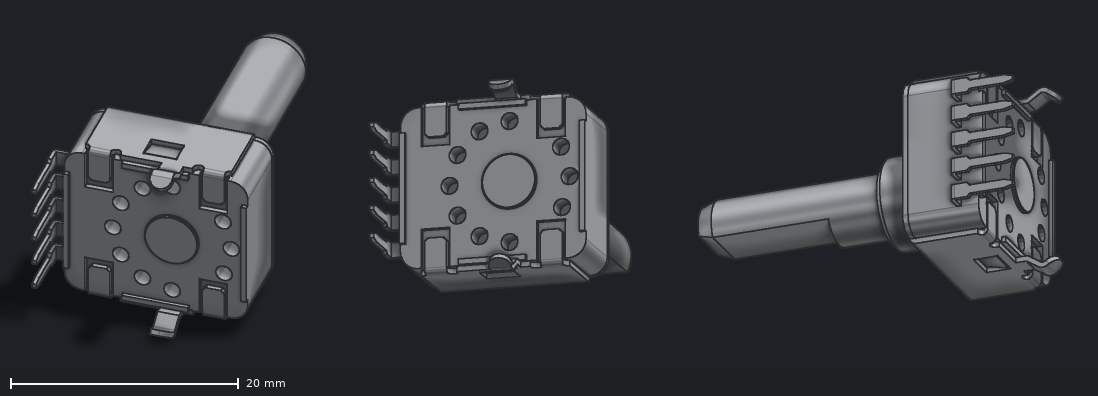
import cadquery as cq
import math


overall_length = 33.5

shaft_diameter = 6.0
shaft_tip_y = 22.4
rear_end_y = shaft_tip_y - overall_length
shaft_taper_length = 1.45
shaft_taper_depth = 0.47
flat_start_y = 10.0
flat_z = -1.47
journal_diameter = 5.0
journal_protrusion = 0.3
journal_chamfer = 0.1

body_left_x = -9.98
body_right_x = 7.0
body_center_x = (body_left_x + body_right_x) / 2
body_height = 14.6
half_height = body_height / 2
corner_radius = 1.6
base_y = -7.2
bushing_diameter = 8.5
bushing_length = 5.0
bushing_chamfer = 0.5

rib_width = 0.5
rib_height = 0.4
side_rib_length = 10.0
end_rib_length = 6.13

hole_diameter = 1.5
hole_depth = 2
hole_circle_radius = 5.5
hole_pitch_angle = 30
left_hole_angles = [90 + hole_pitch_angle * i for i in range(7)]
right_ring_twist = 1
right_hole_angles = [right_ring_twist + hole_pitch_angle * i for i in (-1, 0, 1)]

sheet = 0.5
wall_width = 13.55
wall_end_y = -7.1
wall_outer_z = half_height + sheet
bushing_hole_diameter = 8.55

window_width = 3.05
window_top_y = -3.92
window_bottom_y = -6.2
wedge_top_y = -4.12
wedge_bottom_y = -6.0
wedge_height = 0.4

clip_spacing = 10.6
clip_width = 2
clip_outer_y = -7.17
clip_inner_y = clip_outer_y + sheet
clip_end_z = 4.6
clip_corner = 0.3
clip_xs = [body_center_x - clip_spacing / 2, body_center_x + clip_spacing / 2]
relief_radius = 0.47
relief_center_y = -6.87
relief_offset = clip_width / 2 + relief_radius
clip_recess_width = 2.6
clip_recess_end_z = 3.75

mount_width = 2
mount_bend_y = -8.1
mount_apex_y = -9.65
mount_angle = 33
mount_bend_radius = 0.85
mount_tip_radius = 0.49 * mount_width

terminal_count = 5
terminal_pitch = 2.5
terminal_thickness = 0.4
terminal_outer_x = -11.7
terminal_top_y = -5.15
terminal_tip_y = rear_end_y
terminal_wide = 1.37
terminal_narrow = 0.8
terminal_tip_width = 0.4
shoulder_start_y = -6.77
shoulder_end_y = -7.07
point_start_y = -10.25


def box_between(x0, x1, y0, y1, z0, z1):
    corner = cq.Vector(min(x0, x1), min(y0, y1), min(z0, z1))
    return cq.Workplane(cq.Solid.makeBox(abs(x1 - x0), abs(y1 - y0), abs(z1 - z0), corner))


def cylinder_along_y(diameter, y0, y1, x=0, z=0):
    start = cq.Vector(x, y0, z)
    return cq.Workplane(cq.Solid.makeCylinder(diameter / 2, y1 - y0, start, cq.Vector(0, 1, 0)))


def extrude_yz(points, center_x, width):
    """Extrude a (Y, Z) outline along X, centred on center_x."""
    plane = cq.Workplane("YZ", origin=(center_x, 0, 0))
    return plane.polyline(points).close().extrude(width / 2, both=True)


def both_ends(shape):
    """Return a shape made on the +Z end together with its mirror image on the -Z end."""
    return [shape, shape.mirror("XY")]


def rounded_block(y0, y1):
    block = box_between(body_left_x, body_right_x, y0, y1, -half_height, half_height)
    return block.edges("|Y").fillet(corner_radius)


def make_shaft():
    journal_end_y = base_y - journal_protrusion
    journal = cylinder_along_y(journal_diameter, journal_end_y, 0).faces("<Y").chamfer(journal_chamfer)
    stem = cylinder_along_y(shaft_diameter, 0, shaft_tip_y)
    stem = stem.faces(">Y").edges().chamfer(shaft_taper_length, shaft_taper_depth)
    flat_cut = box_between(
        -shaft_diameter, shaft_diameter, flat_start_y, shaft_tip_y, flat_z, -shaft_diameter
    )
    flat_taper = [
        (shaft_tip_y - shaft_taper_length, flat_z),
        (shaft_tip_y, flat_z + shaft_taper_depth),
        (shaft_tip_y, flat_z),
    ]
    flat_taper_cut = extrude_yz(flat_taper, 0, shaft_diameter)
    return journal.union(stem).cut(flat_cut).cut(flat_taper_cut)


def make_ribs():
    rib_end_y = base_y - rib_height
    ribs = []
    for edge_x, inward in ((body_left_x, rib_width), (body_right_x, -rib_width)):
        ribs.append(box_between(
            edge_x, edge_x + inward, base_y, rib_end_y, -side_rib_length / 2, side_rib_length / 2
        ))
    end_rib = box_between(
        body_center_x - end_rib_length / 2, body_center_x + end_rib_length / 2,
        base_y, rib_end_y, half_height - rib_width, half_height,
    )
    return ribs + both_ends(end_rib)


def make_snap_wedges():
    """Ramps that rise toward the rear and catch in the cover windows."""
    outline = [
        (wedge_top_y, half_height),
        (wedge_bottom_y, half_height + wedge_height),
        (wedge_bottom_y, half_height),
    ]
    return both_ends(extrude_yz(outline, body_center_x, window_width))


def make_housing():
    housing = rounded_block(base_y, -sheet)
    bushing = cylinder_along_y(bushing_diameter, -sheet, bushing_length).faces(">Y").chamfer(bushing_chamfer)
    housing = housing.union(bushing)
    for addition in make_ribs() + make_snap_wedges():
        housing = housing.union(addition)

    housing = housing.cut(cylinder_along_y(shaft_diameter, 0, bushing_length))
    housing = housing.cut(cylinder_along_y(journal_diameter, base_y, 0))
    for angle in left_hole_angles + right_hole_angles:
        x = hole_circle_radius * math.cos(math.radians(angle))
        z = hole_circle_radius * math.sin(math.radians(angle))
        housing = housing.cut(cylinder_along_y(hole_diameter, base_y, base_y + hole_depth, x, z))

    for x in clip_xs:
        recess = box_between(
            x - clip_recess_width / 2, x + clip_recess_width / 2,
            base_y, clip_inner_y, clip_recess_end_z, half_height,
        )
        for cut in both_ends(recess):
            housing = housing.cut(cut)
    return housing


def make_clip(x):
    """A clip bent over the rear face from the +Z wall, with a rounded fold."""
    fold_middle = sheet * math.sqrt(0.5)
    profile = (
        cq.Workplane("YZ", origin=(x, 0, 0))
        .moveTo(clip_inner_y, wall_outer_z)
        .threePointArc(
            (clip_inner_y - fold_middle, half_height + fold_middle), (clip_outer_y, half_height)
        )
        .lineTo(clip_outer_y, clip_end_z)
        .lineTo(clip_inner_y, clip_end_z)
        .close()
    )
    clip = profile.extrude(clip_width / 2, both=True)
    return clip.edges("|Y and <Z").chamfer(clip_corner)


def make_clip_notch(x):
    """The wall material removed around a clip, including its two round relief slots."""
    notch = box_between(
        x - clip_width / 2, x + clip_width / 2, wall_end_y, clip_inner_y, half_height, wall_outer_z
    )
    for slot_x in (x - relief_offset, x + relief_offset):
        slot = box_between(
            slot_x - relief_radius, slot_x + relief_radius,
            wall_end_y, relief_center_y, half_height, wall_outer_z,
        )
        round_end = (
            cq.Workplane("XY", origin=(slot_x, relief_center_y, half_height))
            .circle(relief_radius).extrude(sheet)
        )
        notch = notch.union(slot).union(round_end)
    return notch


def make_mounting_tab():
    """A strip that leaves the +Z wall, bends outward and back, and ends in a half round."""
    angle = math.radians(mount_angle)
    half_bend = sheet * math.tan(angle / 2)
    apex_z = wall_outer_z + (mount_bend_y - mount_apex_y) * math.tan(angle)
    tip_y = rear_end_y
    tip_z = apex_z - (mount_apex_y - tip_y) * math.tan(angle)
    outline = [
        (wall_end_y, wall_outer_z),
        (mount_bend_y, wall_outer_z),
        (mount_apex_y, apex_z),
        (tip_y, tip_z),
        (tip_y + sheet * math.sin(angle), tip_z - sheet * math.cos(angle)),
        (mount_apex_y, apex_z - sheet / math.cos(angle)),
        (mount_bend_y - half_bend, half_height),
        (wall_end_y, half_height),
    ]
    tab = extrude_yz(outline, 0, mount_width)
    tab = tab.edges("|X and >Z").fillet(mount_bend_radius)
    inner_apex = cq.selectors.NearestToPointSelector((0, mount_apex_y, apex_z - sheet / math.cos(angle)))
    tab = tab.edges("|X").edges(inner_apex).fillet(mount_bend_radius - sheet)
    tip_corners = tab.faces("<Y").edges("not |X")
    return tab.newObject(tip_corners.vals()).fillet(mount_tip_radius)


def make_side_wall():
    """The +Z wall with its window, relief notches, clips and mounting tab."""
    wall = box_between(
        body_center_x - wall_width / 2, body_center_x + wall_width / 2,
        wall_end_y, 0, half_height - sheet, wall_outer_z,
    )
    wall = wall.edges(">Y and >Z").fillet(sheet)
    wall = wall.cut(rounded_block(base_y, -sheet))
    window = box_between(
        body_center_x - window_width / 2, body_center_x + window_width / 2,
        window_bottom_y, window_top_y, half_height, wall_outer_z,
    )
    wall = wall.cut(window)
    for x in clip_xs:
        wall = wall.cut(make_clip_notch(x)).union(make_clip(x))
    return wall.union(make_mounting_tab())


def make_cover():
    cover = rounded_block(-sheet, 0)
    for wall in both_ends(make_side_wall()):
        cover = cover.union(wall)
    return cover.cut(cylinder_along_y(bushing_hole_diameter, -sheet, 0))


def make_terminal(z):
    """A right-angled flat pin that starts at the -X face of the housing."""
    inner_x = terminal_outer_x + terminal_thickness
    bent_strip = (
        cq.Workplane("XY", origin=(0, 0, z))
        .moveTo(body_left_x, terminal_top_y)
        .lineTo(terminal_outer_x, terminal_top_y)
        .lineTo(terminal_outer_x, terminal_tip_y)
        .lineTo(inner_x, terminal_tip_y)
        .lineTo(inner_x, terminal_top_y - terminal_thickness)
        .lineTo(body_left_x, terminal_top_y - terminal_thickness)
        .close()
        .extrude(terminal_wide / 2, both=True)
        .edges("|Z and <X and >Y").fillet(terminal_thickness)
    )
    half_outline = [
        (terminal_top_y, terminal_wide / 2),
        (shoulder_start_y, terminal_wide / 2),
        (shoulder_end_y, terminal_narrow / 2),
        (point_start_y, terminal_narrow / 2),
        (terminal_tip_y, terminal_tip_width / 2),
    ]
    outline = half_outline + [(y, -half_width) for y, half_width in reversed(half_outline)]
    blank = (
        cq.Workplane("YZ", origin=(terminal_outer_x, 0, z))
        .polyline(outline).close().extrude(body_left_x - terminal_outer_x)
    )
    return bent_strip.intersect(blank)


shaft = make_shaft()
housing = make_housing()
cover = make_cover()
terminals = [
    make_terminal((i - (terminal_count - 1) / 2) * terminal_pitch) for i in range(terminal_count)
]

result = cq.Compound.makeCompound(
    [shaft.val(), housing.val(), cover.val()] + [terminal.val() for terminal in terminals]
)